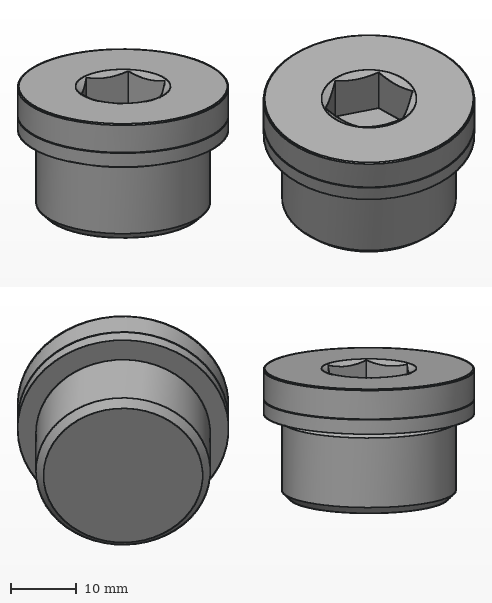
import cadquery as cq
import math

total_height = 20.0

head_diameter = 32.0
head_height = 4.6
head_edge_chamfer = 0.2

gap_diameter = 28.8
gap_height = 0.13

ring_diameter = head_diameter
ring_height = 2.2

shank_diameter = 26.43
shank_chamfer = 1.15

socket_across_flats = 12.0
socket_depth = 7.0
socket_mouth_diameter = 14.4
socket_mouth_slope = 30.0

head_bottom = total_height - head_height
ring_top = head_bottom - gap_height
shank_top = ring_top - ring_height


def disc(diameter, bottom, height):
    """Solid cylinder on the Z axis."""
    return cq.Workplane("XY").workplane(offset=bottom).circle(diameter / 2).extrude(height)


def make_head():
    head = disc(head_diameter, head_bottom, head_height)
    return head.faces(">Z").edges().chamfer(head_edge_chamfer)


def make_shank():
    shank = disc(shank_diameter, 0, shank_top)
    return shank.faces("<Z or >Z").edges().chamfer(shank_chamfer)


def make_socket():
    """Blind hexagon with two flats facing +X and -X."""
    across_corners = socket_across_flats / math.cos(math.radians(30))
    return (
        cq.Workplane("XY")
        .workplane(offset=total_height - socket_depth)
        .transformed(rotate=(0, 0, 30))
        .polygon(6, across_corners)
        .extrude(socket_depth)
    )


def make_socket_mouth():
    """Conical lead-in that breaks the upper edges of the hexagon."""
    mouth_radius = socket_mouth_diameter / 2
    cone_depth = mouth_radius * math.tan(math.radians(socket_mouth_slope))
    return (
        cq.Workplane("XZ")
        .moveTo(0, total_height)
        .lineTo(mouth_radius, total_height)
        .lineTo(0, total_height - cone_depth)
        .close()
        .revolve(360, (0, 0, 0), (0, 1, 0))
    )


gap_core = disc(gap_diameter, ring_top, gap_height)
ring = disc(ring_diameter, shank_top, ring_height)
body = make_shank().union(ring).union(gap_core).union(make_head())
result = body.cut(make_socket()).cut(make_socket_mouth())